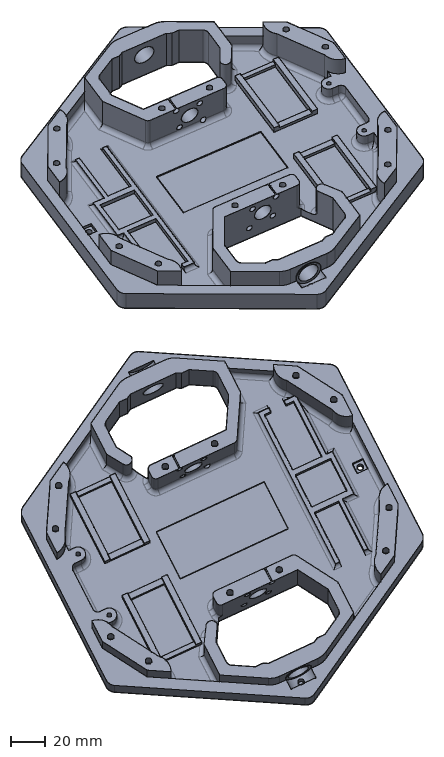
import cadquery as cq
import math

PLATE_WIDTH = 203.1
PLATE_TOP = 16.0
CORNER_RADIUS = 6.0
BOTTOM_CHAMFER = 3.0
TOTAL_HEIGHT = 28.6
FLOOR = 6.0
RIM = 6.5
POCKET_CORNER_DISTANCE = 97.7
COVE = 3.0
SCREW_DIAMETER = 3.7
SCREW_DEPTH = 10.0
INSET_WIDTH = PLATE_WIDTH - 2 * RIM
GROUND_DEPTH = 2.3
TOLERANCE = 0.002
COS30 = math.cos(math.radians(30))
TAN30 = math.tan(math.radians(30))

RING_OUTER_X = 100.7
RING_INNER_X = 90.85
RING_LOBE_X = 89.3
RELIEF_START = 14.7
RELIEF_END = 17.5
RING_OUTER_Y = 43.0
RING_INNER_Y = 36.0
RING_BEND_OUTER_X = 64.2
RING_BEND_INNER_X = 65.5
RING_SLANT_INNER_X = 81.5
RING_CORNER_RADIUS = 12.5
RING_INNER_RADIUS = 3.5
BLOCK_OUTER_X = 47.2
BLOCK_INNER_X = 38.0
BLOCK_TOP_Y = 25.5
BLOCK_CORNER_RADIUS = 2.8
ARM_END_X = 56.3
ARM_END_RADIUS = 3.37
BLOCK_SCREW_Y = 15.8

AXLE_Z = 18.0
AXLE_BORE = 12.8
MOTOR_BORE = 11.0
TROUGH_DIAMETER = 16.5
TROUGH_END_X = 107.0
TROUGH_SINK = 0.5
TROUGH_SCREW_X = 103.8
TROUGH_SCREW_DEPTH = 5.1
MOTOR_SCREW_RADII = (9.5, 12.5)

PAD_INNER = 90.0
PAD_OUTER = 100.7
PAD_END_RADIUS = 10.12
PAD_END_OFFSET = 19.3
PAD_END_DISTANCE = 99.5
PAD_SCREW_OFFSET = 13.15
PAD_SCREW_DISTANCE = 95.6

TAB_X = 20.6
TAB_Y = 82.5
TAB_RADIUS = 4.3
TAB_ROUNDING = 3.05
TAB_HOLE = 2.5
TAB_RIM_Y = 89.5
TAB_SHOULDER_X = 30.2
TAB_SHOULDER_Y = 86.5

RECESS_LENGTH = 69.3
RECESS_WIDTH = 31.6
RECESS_DEPTH = 1.0

HOLDER_X = (11.5, 57.0)
HOLDER_Y = (41.0, 69.92)
HOLDER_BAR = 3.6
HOLDER_BAR_HEIGHT = 4.0
HOLDER_INNER_X = (15.1, 54.2)
HOLDER_SIDE_HEIGHT = 2.0

FRAME_HEIGHT = 3.0
FRAME_COVE = 2.2
FRAME_LEFT = -48.0
FRAME_RIGHT = 54.2
FRAME_TOP = -49.45
FRAME_STEP = 14.3
FRAME_BOTTOM_LEFT = -70.3
FRAME_BOTTOM_MIDDLE = -77.7
FRAME_BOTTOM_RIGHT = -73.8
BAY_TOP = -52.23
BAY_MIDDLE = (-11.0, 10.82, -75.0)
BAY_LEFT_END = -14.55
BAY_LEFT_BOTTOM = -67.7
BAY_RIGHT = (14.08, 51.5, -71.0)
FRAME_GAP_Y = (-66.0, -56.42)

NUT_Y = -88.6
NUT_SIZE = 6.7
NUT_DEPTH = 2.0
NUT_HOLE = 3.7


def box(x_range, y_range, z_range):
    (x0, x1), (y0, y1), (z0, z1) = x_range, y_range, z_range
    return cq.Workplane("XY").box(x1 - x0, y1 - y0, z1 - z0, centered=False).translate((x0, y0, z0))


def prism(points, bottom, top):
    return cq.Workplane("XY").workplane(offset=bottom).polyline(points).close().extrude(top - bottom)


def hexagon(width, bottom, top):
    plane = cq.Workplane("XY").workplane(offset=bottom)
    return plane.polygon(6, width / COS30).extrude(top - bottom)


def disc(x, y, radius, bottom, top):
    return cq.Workplane("XY").workplane(offset=bottom).center(x, y).circle(radius).extrude(top - bottom)


def axle_cylinder(diameter, x0, x1, y=0, z=AXLE_Z):
    return cq.Workplane("YZ").workplane(offset=x0).center(y, z).circle(diameter / 2).extrude(x1 - x0)


def screw_hole(x, y, top, depth=SCREW_DEPTH):
    return disc(x, y, SCREW_DIAMETER / 2, top - depth, top)


def on_both_sides(solid):
    return solid.union(solid.mirror("YZ"))


def at_four_corners(solid):
    both = on_both_sides(solid)
    return both.union(both.mirror("XZ"))


def with_cove(solid, edge_filter, radius=COVE):
    """Round the foot of a solid standing on the pocket floor, where edge_filter accepts the edge."""
    bounds = solid.val().BoundingBox()
    ground = box(
        (bounds.xmin - 2 * radius, bounds.xmax + 2 * radius),
        (bounds.ymin - 2 * radius, bounds.ymax + 2 * radius),
        (FLOOR - GROUND_DEPTH, FLOOR),
    )
    joined = ground.union(solid)
    foot = [
        edge for edge in joined.edges().vals()
        if abs(edge.BoundingBox().zmax - FLOOR) < TOLERANCE
        and abs(edge.BoundingBox().zmin - FLOOR) < TOLERANCE
        and bounds.xmin - TOLERANCE < edge.Center().x < bounds.xmax + TOLERANCE
        and bounds.ymin - TOLERANCE < edge.Center().y < bounds.ymax + TOLERANCE
        and edge_filter(edge)
    ]
    return joined.newObject(foot).fillet(radius)


def near(x, y, z):
    return cq.selectors.NearestToPointSelector((x, y, z))


def ring_opening():
    """Wheel opening inside the right-hand ring, through the whole plate."""
    slant_end_y = RING_INNER_Y - (RING_LOBE_X - RING_SLANT_INNER_X) / TAN30
    block_y = RING_INNER_Y - (RING_BEND_INNER_X - BLOCK_OUTER_X) * TAN30
    upper = [
        (BLOCK_OUTER_X, block_y),
        (RING_BEND_INNER_X, RING_INNER_Y),
        (RING_SLANT_INNER_X, RING_INNER_Y),
        (RING_LOBE_X, slant_end_y),
        (RING_LOBE_X, RELIEF_END),
        (RING_INNER_X, RELIEF_START),
    ]
    lower = [(x, -y) for x, y in reversed(upper)]
    opening = prism(upper + lower, 0, TOTAL_HEIGHT)
    for y in (RING_INNER_Y, -RING_INNER_Y):
        corner = near(RING_SLANT_INNER_X, y, TOTAL_HEIGHT / 2)
        opening = opening.edges("|Z").edges(corner).fillet(RING_INNER_RADIUS)
    return opening


def ring_shell():
    """Right-hand ring before its opening is cut, with a gap between the free arm and the motor wall."""
    slope_drop = (RING_BEND_OUTER_X - BLOCK_INNER_X) * TAN30
    shoulder_x = INSET_WIDTH / 2 / COS30 - RING_OUTER_Y * TAN30
    turn_y = (INSET_WIDTH / 2 / COS30 - RING_OUTER_X) / TAN30
    mid_height = (FLOOR + TOTAL_HEIGHT) / 2

    arm_end_y = (RING_OUTER_Y + RING_INNER_Y) / 2 - (RING_BEND_INNER_X - ARM_END_X) * TAN30
    across = (ARM_END_RADIUS / 2, ARM_END_RADIUS * COS30)
    along = (-ARM_END_RADIUS * COS30, -ARM_END_RADIUS / 2)
    wall = (
        cq.Workplane("XY").workplane(offset=FLOOR)
        .moveTo(BLOCK_INNER_X, BLOCK_TOP_Y)
        .lineTo(BLOCK_INNER_X, -RING_OUTER_Y + slope_drop)
        .lineTo(RING_BEND_OUTER_X, -RING_OUTER_Y)
        .lineTo(shoulder_x, -RING_OUTER_Y)
        .lineTo(RING_OUTER_X, -turn_y)
        .lineTo(RING_OUTER_X, turn_y)
        .lineTo(shoulder_x, RING_OUTER_Y)
        .lineTo(RING_BEND_OUTER_X, RING_OUTER_Y)
        .lineTo(ARM_END_X - across[0], arm_end_y + across[1])
        .threePointArc(
            (ARM_END_X + along[0], arm_end_y + along[1]),
            (ARM_END_X + across[0], arm_end_y - across[1]),
        )
        .lineTo(RING_BEND_INNER_X, 0)
        .lineTo(BLOCK_OUTER_X, 0)
        .lineTo(BLOCK_OUTER_X, BLOCK_TOP_Y)
        .close()
        .extrude(TOTAL_HEIGHT - FLOOR)
    )
    for x, y, radius in (
        (RING_OUTER_X, turn_y, RING_CORNER_RADIUS),
        (RING_OUTER_X, -turn_y, RING_CORNER_RADIUS),
        (BLOCK_INNER_X, BLOCK_TOP_Y, BLOCK_CORNER_RADIUS),
        (BLOCK_OUTER_X, BLOCK_TOP_Y, BLOCK_CORNER_RADIUS),
        (BLOCK_INNER_X, -RING_OUTER_Y + slope_drop, BLOCK_CORNER_RADIUS),
    ):
        wall = wall.edges("|Z").edges(near(x, y, mid_height)).fillet(radius)
    return wall


def corner_pad():
    """Pad at the upper right hexagon corner, standing on the pocket floor."""
    bar = box((PAD_INNER, PAD_OUTER), (-PAD_END_OFFSET, PAD_END_OFFSET), (FLOOR, TOTAL_HEIGHT))
    pad = with_cove(bar, lambda edge: edge.Center().x < PAD_INNER + TOLERANCE)
    for y in (PAD_END_OFFSET, -PAD_END_OFFSET):
        end = disc(PAD_END_DISTANCE, y, PAD_END_RADIUS, FLOOR, TOTAL_HEIGHT)
        pad = pad.union(with_cove(end, lambda edge: True))
    trim = box((0, PAD_OUTER), (-PLATE_WIDTH, PLATE_WIDTH), (0, TOTAL_HEIGHT))
    pad = pad.intersect(trim).rotate((0, 0, 0), (0, 0, 1), 60)
    return pad.intersect(hexagon(INSET_WIDTH, 0, TOTAL_HEIGHT))


def tab_rim():
    """Thicker stretch of the +Y rim with its two screw tabs."""
    top_y = INSET_WIDTH / 2
    inner_x = TAB_X - TAB_RADIUS
    outer_x = TAB_X + TAB_RADIUS
    rim = (
        cq.Workplane("XY").workplane(offset=FLOOR)
        .moveTo(0, top_y)
        .lineTo(0, TAB_RIM_Y)
        .lineTo(inner_x, TAB_RIM_Y)
        .lineTo(inner_x, TAB_Y)
        .threePointArc((TAB_X, TAB_Y - TAB_RADIUS), (outer_x, TAB_Y))
        .lineTo(outer_x, TAB_SHOULDER_Y)
        .lineTo(TAB_SHOULDER_X, TAB_SHOULDER_Y)
        .lineTo(TAB_SHOULDER_X, top_y)
        .close()
        .extrude(PLATE_TOP - FLOOR)
    )
    corner = near(inner_x, TAB_RIM_Y, (FLOOR + PLATE_TOP) / 2)
    rim = on_both_sides(rim.edges("|Z").edges(corner).fillet(TAB_ROUNDING)).clean()
    return with_cove(rim, lambda edge: edge.Center().y < TAB_RIM_Y + TOLERANCE)


def plate():
    body = hexagon(PLATE_WIDTH, 0, PLATE_TOP)
    return body.edges("|Z").fillet(CORNER_RADIUS).faces("<Z").chamfer(BOTTOM_CHAMFER)


def pocket():
    """Large pocket in the plate, with the corners of the hexagon cut off."""
    corner_limit = hexagon(2 * POCKET_CORNER_DISTANCE, FLOOR, PLATE_TOP).rotate((0, 0, 0), (0, 0, 1), 30)
    space = hexagon(INSET_WIDTH, FLOOR, PLATE_TOP).intersect(corner_limit)
    return space.faces("<Z").edges().fillet(COVE)


def holder():
    """Right-hand holder: two long bars joined by two lower side bars."""
    low_y, high_y = HOLDER_Y
    bars = box(HOLDER_X, (low_y, low_y + HOLDER_BAR), (FLOOR, FLOOR + HOLDER_BAR_HEIGHT))
    bars = bars.union(box(HOLDER_X, (high_y - HOLDER_BAR, high_y), (FLOOR, FLOOR + HOLDER_BAR_HEIGHT)))
    side_z = (FLOOR, FLOOR + HOLDER_SIDE_HEIGHT)
    bars = bars.union(box((HOLDER_X[0], HOLDER_INNER_X[0]), HOLDER_Y, side_z))
    return bars.union(box((HOLDER_INNER_X[1], HOLDER_X[1]), HOLDER_Y, side_z))


def board_frame():
    """Low frame with three bays, open at the left end and through a gap at the right end."""
    frame_top = FLOOR + FRAME_HEIGHT
    outline = [
        (FRAME_LEFT, FRAME_TOP),
        (FRAME_RIGHT, FRAME_TOP),
        (FRAME_RIGHT, FRAME_BOTTOM_RIGHT),
        (FRAME_STEP, FRAME_BOTTOM_RIGHT),
        (FRAME_STEP, FRAME_BOTTOM_MIDDLE),
        (-FRAME_STEP, FRAME_BOTTOM_MIDDLE),
        (-FRAME_STEP, FRAME_BOTTOM_LEFT),
        (FRAME_LEFT, FRAME_BOTTOM_LEFT),
    ]
    frame = with_cove(prism(outline, FLOOR, frame_top), lambda edge: True, FRAME_COVE)
    bay_z = (FLOOR, frame_top)
    left_bay = box((FRAME_LEFT - 2 * FRAME_COVE, BAY_LEFT_END), (BAY_LEFT_BOTTOM, BAY_TOP), bay_z)
    middle_bay = box(BAY_MIDDLE[:2], (BAY_MIDDLE[2], BAY_TOP), bay_z)
    right_bay = box(BAY_RIGHT[:2], (BAY_RIGHT[2], BAY_TOP), bay_z)
    gap = box((BAY_RIGHT[1], FRAME_RIGHT + 2 * FRAME_COVE), FRAME_GAP_Y, bay_z)
    return frame.cut(left_bay).cut(middle_bay).cut(right_bay).cut(gap)


def axle_cuts():
    """Bores, trough and motor screw holes of the right-hand ring."""
    bite_x = RING_OUTER_X - TROUGH_SINK
    cuts = axle_cylinder(TROUGH_DIAMETER, bite_x, TROUGH_END_X)
    cuts = cuts.union(axle_cylinder(AXLE_BORE, BLOCK_OUTER_X, bite_x))
    cuts = cuts.union(axle_cylinder(MOTOR_BORE, BLOCK_INNER_X, BLOCK_OUTER_X))
    for i in range(4):
        angle = math.radians(45 + 90 * i)
        reach = MOTOR_SCREW_RADII[(i + 1) % 2]
        y = reach * math.cos(angle)
        z = AXLE_Z + reach * math.sin(angle)
        cuts = cuts.union(axle_cylinder(SCREW_DIAMETER, BLOCK_INNER_X - COVE, BLOCK_OUTER_X, y, z))
    trough_floor = AXLE_Z - TROUGH_DIAMETER / 2
    return cuts.union(screw_hole(TROUGH_SCREW_X, 0, AXLE_Z, AXLE_Z - trough_floor + TROUGH_SCREW_DEPTH))


def pad_screws():
    screws = cq.Workplane("XY")
    for side in (1, -1):
        offset = side * PAD_SCREW_OFFSET
        x = PAD_SCREW_DISTANCE / 2 - offset * COS30
        y = PAD_SCREW_DISTANCE * COS30 + offset / 2
        screws = screws.union(screw_hole(x, y, TOTAL_HEIGHT))
    return at_four_corners(screws)


def wall_and_tab_screws():
    block_x = (BLOCK_INNER_X + BLOCK_OUTER_X) / 2
    screws = disc(TAB_X, TAB_Y, TAB_HOLE / 2, FLOOR, PLATE_TOP)
    for y in (BLOCK_SCREW_Y, -BLOCK_SCREW_Y):
        screws = screws.union(screw_hole(block_x, y, TOTAL_HEIGHT))
    return on_both_sides(screws)


def floor_recesses():
    """Battery recess in the floor, and the nut seat with its through hole."""
    half_width, half_length, half_nut = RECESS_WIDTH / 2, RECESS_LENGTH / 2, NUT_SIZE / 2
    cuts = box((-half_width, half_width), (-half_length, half_length), (FLOOR - RECESS_DEPTH, FLOOR))
    seat = box((-half_nut, half_nut), (NUT_Y - half_nut, NUT_Y + half_nut), (FLOOR - NUT_DEPTH, FLOOR))
    return cuts.union(seat).union(disc(0, NUT_Y, NUT_HOLE / 2, 0, FLOOR))


inset_limit = hexagon(INSET_WIDTH, 0, TOTAL_HEIGHT)
opening = ring_opening()
ring = with_cove(ring_shell(), lambda edge: True).intersect(inset_limit)

result = plate().cut(pocket())
result = result.union(at_four_corners(corner_pad()))
result = result.union(tab_rim().intersect(inset_limit))
result = result.union(on_both_sides(holder()))
result = result.union(board_frame())
result = result.union(on_both_sides(ring)).cut(on_both_sides(opening))

right_axle = axle_cuts()
result = result.cut(right_axle).cut(right_axle.rotate((0, 0, 0), (0, 0, 1), 180))
result = result.cut(pad_screws()).cut(wall_and_tab_screws()).cut(floor_recesses())